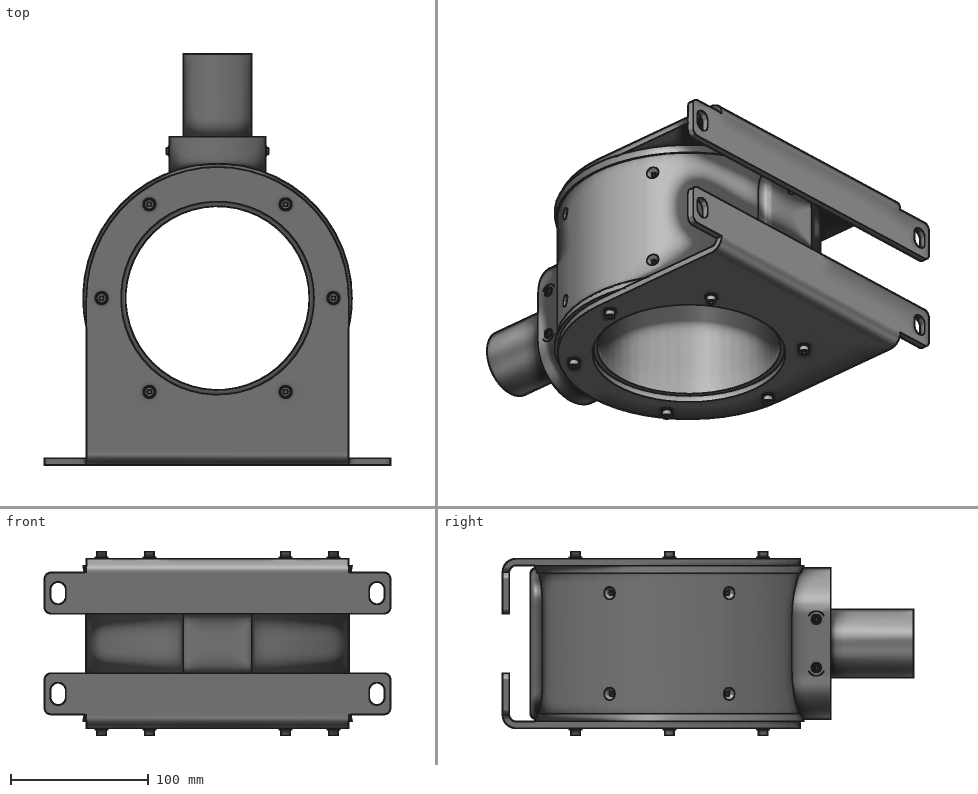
import cadquery as cq
import math


drum_radius = 95.5
bore_diameter = 133.0
drum_half_height = 56.5
lip_outer_radius = 97.5
lip_inner_radius = 96.5
lip_height = 5.5

plate_thickness = 5.0
plate_half_width = 95.0
plate_hole_diameter = 140.0
bend_outer_radius = 10.0
foot_face_y = -121.0
foot_length = 251.0
foot_height = 30.0
foot_corner_radius = 5.0
slot_width = 11.0
slot_length = 16.0
slot_edge_distance = 10.0

screw_circle_radius = 84.0
screw_angles = (0, 54, 126, 180, 234, 306)
washer_diameter = 9.0
washer_thickness = 1.03
head_diameter = 7.0
head_height = 4.0
head_socket_flats = 3.0
head_socket_depth = 2.0

neck_width = 70.0
neck_height = 110.0
neck_end_y = 117.0
spigot_diameter = 50.0
spigot_length = 60.0

button_washer_diameter = 7.0
button_washer_thickness = 0.5
button_diameter = 5.7
button_top_diameter = 4.0
button_height = 1.65
button_socket_flats = 2.0
button_socket_depth = 1.0
button_inset = 10.5
button_height_offset = 17.5
button_seat_radius = 6.0
button_seat_depth = 5.0

pad_width = 50.0
pad_height = 110.0
pad_face_y = -101.0
pad_edge_fillet = 5.0

sink_diameter = 9.0
pilot_diameter = 3.3
pilot_depth = 10.0
wall_hole_height = 36.5
wall_hole_angles = (27, 153, 207, 333)
pad_hole_angle = 270

plate_top = drum_half_height + plate_thickness
foot_top = plate_top - bend_outer_radius
foot_middle = foot_top - foot_height / 2
hex_corner_factor = 2 / math.sqrt(3)


def make_drum():
    """Revolve the solid drum with its stepped, slightly flared lip at both ends."""
    lip_start = drum_half_height - lip_height
    return (
        cq.Workplane("XZ")
        .moveTo(0, -drum_half_height)
        .lineTo(lip_outer_radius, -drum_half_height)
        .lineTo(lip_inner_radius, -lip_start)
        .lineTo(drum_radius, -lip_start)
        .lineTo(drum_radius, lip_start)
        .lineTo(lip_inner_radius, lip_start)
        .lineTo(lip_outer_radius, drum_half_height)
        .lineTo(0, drum_half_height)
        .close()
        .revolve(360, (0, 0, 0), (0, 1, 0))
    )


def make_neck():
    """Obround neck from the bore axis outwards, with the round spigot on its end."""
    neck = (
        cq.Workplane("XZ")
        .slot2D(neck_height, neck_width, 90)
        .extrude(-neck_end_y)
    )
    spigot = (
        cq.Workplane("XZ", origin=(0, neck_end_y, 0))
        .circle(spigot_diameter / 2)
        .extrude(-spigot_length)
    )
    return neck.union(spigot)


def make_pad():
    """Obround pad with a rounded front edge."""
    return (
        cq.Workplane("XZ")
        .slot2D(pad_height, pad_width, 90)
        .extrude(-pad_face_y)
        .faces("<Y")
        .edges()
        .fillet(pad_edge_fillet)
    )


def make_flange():
    """Upper flange plate: round at +Y, bent down at -Y into a wide slotted foot."""
    bend_start_y = foot_face_y + bend_outer_radius
    bend_inner_radius = bend_outer_radius - plate_thickness
    diagonal = math.sqrt(0.5)
    foot_back_y = foot_face_y + plate_thickness

    plate = (
        cq.Workplane("XY", origin=(0, 0, drum_half_height))
        .moveTo(-plate_half_width, bend_start_y)
        .lineTo(plate_half_width, bend_start_y)
        .lineTo(plate_half_width, 0)
        .threePointArc((0, plate_half_width), (-plate_half_width, 0))
        .close()
        .extrude(plate_thickness)
    )
    hole = (
        cq.Workplane("XY", origin=(0, 0, drum_half_height))
        .circle(plate_hole_diameter / 2)
        .extrude(plate_thickness)
    )
    bend = (
        cq.Workplane("YZ", origin=(-plate_half_width, bend_start_y, foot_top))
        .moveTo(0, bend_outer_radius)
        .threePointArc(
            (-bend_outer_radius * diagonal, bend_outer_radius * diagonal),
            (-bend_outer_radius, 0),
        )
        .lineTo(-bend_inner_radius, 0)
        .threePointArc(
            (-bend_inner_radius * diagonal, bend_inner_radius * diagonal),
            (0, bend_inner_radius),
        )
        .close()
        .extrude(2 * plate_half_width)
    )
    slot_x = foot_length / 2 - slot_edge_distance
    foot = (
        cq.Workplane("XZ", origin=(0, foot_back_y, foot_middle))
        .rect(foot_length, foot_height)
        .extrude(plate_thickness)
        .edges("|Y")
        .fillet(foot_corner_radius)
    )
    slots = (
        cq.Workplane("XZ", origin=(0, foot_back_y, foot_middle))
        .pushPoints([(-slot_x, 0), (slot_x, 0)])
        .slot2D(slot_length, slot_width, 90)
        .extrude(plate_thickness)
    )
    return plate.cut(hole).union(bend).union(foot.cut(slots))


def make_flange_screws():
    """Washers and socket heads on top of the upper flange."""
    screws = cq.Workplane("XY")
    head_base = plate_top + washer_thickness
    for angle in screw_angles:
        x = screw_circle_radius * math.cos(math.radians(angle))
        y = screw_circle_radius * math.sin(math.radians(angle))
        washer = (
            cq.Workplane("XY", origin=(x, y, plate_top))
            .circle(washer_diameter / 2)
            .extrude(washer_thickness)
        )
        head = (
            cq.Workplane("XY", origin=(x, y, head_base))
            .circle(head_diameter / 2)
            .extrude(head_height)
        )
        socket = (
            cq.Workplane("XY", origin=(x, y, head_base + head_height))
            .polygon(6, head_socket_flats * hex_corner_factor)
            .extrude(-head_socket_depth)
        )
        screws = screws.union(washer).union(head.cut(socket))
    return screws


def make_button_screw(side, z):
    """Seat, washer and button head on the neck side facing +X (side = 1) or -X (side = -1)."""
    face = cq.Plane(
        origin=(side * neck_width / 2, neck_end_y - button_inset, z),
        xDir=(0, 1, 0),
        normal=(side, 0, 0),
    )
    seat = cq.Workplane(face).circle(button_seat_radius).extrude(-button_seat_depth)
    washer = (
        cq.Workplane(face)
        .circle(button_washer_diameter / 2)
        .extrude(button_washer_thickness)
    )
    button = (
        cq.Workplane(face)
        .workplane(offset=button_washer_thickness)
        .circle(button_diameter / 2)
        .workplane(offset=button_height)
        .circle(button_top_diameter / 2)
        .loft()
    )
    socket = (
        cq.Workplane(face)
        .workplane(offset=button_washer_thickness + button_height)
        .polygon(6, button_socket_flats * hex_corner_factor)
        .extrude(-button_socket_depth)
    )
    return seat.union(washer).union(button.cut(socket))


def make_wall_hole(angle, surface_radius, z):
    """Cutter for a radial pilot hole with a 90 degree countersink at the surface."""
    sink_depth = (sink_diameter - pilot_diameter) / 2
    outside = surface_radius + sink_depth
    return (
        cq.Workplane("XZ")
        .moveTo(surface_radius - pilot_depth, 0)
        .lineTo(surface_radius - pilot_depth, pilot_diameter / 2)
        .lineTo(surface_radius - sink_depth, pilot_diameter / 2)
        .lineTo(outside, sink_diameter / 2 + sink_depth)
        .lineTo(outside, 0)
        .close()
        .revolve(360, (0, 0, 0), (1, 0, 0))
        .rotate((0, 0, 0), (0, 0, 1), angle)
        .translate((0, 0, z))
    )


result = make_drum().union(make_neck()).union(make_pad())
bore = (
    cq.Workplane("XY", origin=(0, 0, -drum_half_height))
    .circle(bore_diameter / 2)
    .extrude(2 * drum_half_height)
)
result = result.cut(bore)

upper_end = make_flange().union(make_flange_screws())
result = result.union(upper_end).union(upper_end.mirror("XY"))

for side in (-1, 1):
    for z in (-button_height_offset, button_height_offset):
        result = result.union(make_button_screw(side, z))

for z in (-wall_hole_height, wall_hole_height):
    for angle in wall_hole_angles:
        result = result.cut(make_wall_hole(angle, drum_radius, z))
    result = result.cut(make_wall_hole(pad_hole_angle, -pad_face_y, z))